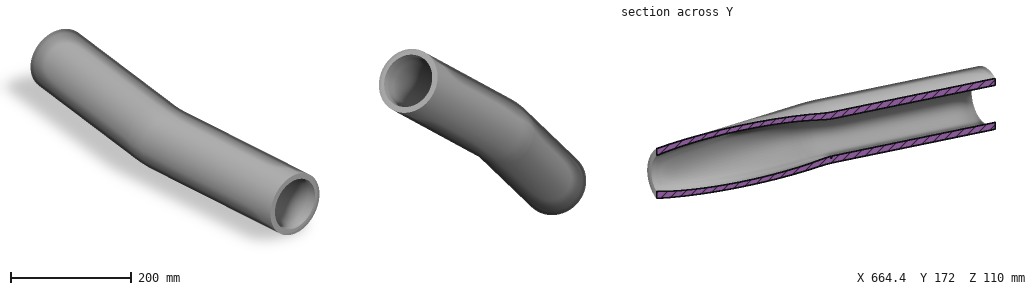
import cadquery as cq
import math

outer_diameter = 110.0
inner_diameter = 90.0

bend_angle = 11.0
bend_radius = 1.5 * outer_diameter
leg_to_corner = 3.0 * outer_diameter

angle = math.radians(bend_angle)
tangent_length = bend_radius * math.tan(angle / 2)
straight_length = leg_to_corner - tangent_length


def point_on_bend(turned):
    """Centreline point after turning by the given angle (radians)."""
    return (
        straight_length + bend_radius * math.sin(turned),
        bend_radius * (1 - math.cos(turned)),
    )


def centreline():
    """Straight leg along +X, tangent arc, then the turned straight leg."""
    bend_end = point_on_bend(angle)
    far_end = (
        bend_end[0] + straight_length * math.cos(angle),
        bend_end[1] + straight_length * math.sin(angle),
    )
    return (
        cq.Workplane("XY")
        .lineTo(straight_length, 0)
        .threePointArc(point_on_bend(angle / 2), bend_end)
        .lineTo(*far_end)
    )


def bent_pipe():
    """Annular section swept along the centreline, open at both ends."""
    return (
        cq.Workplane("YZ")
        .circle(outer_diameter / 2)
        .circle(inner_diameter / 2)
        .sweep(centreline())
    )


result = bent_pipe()